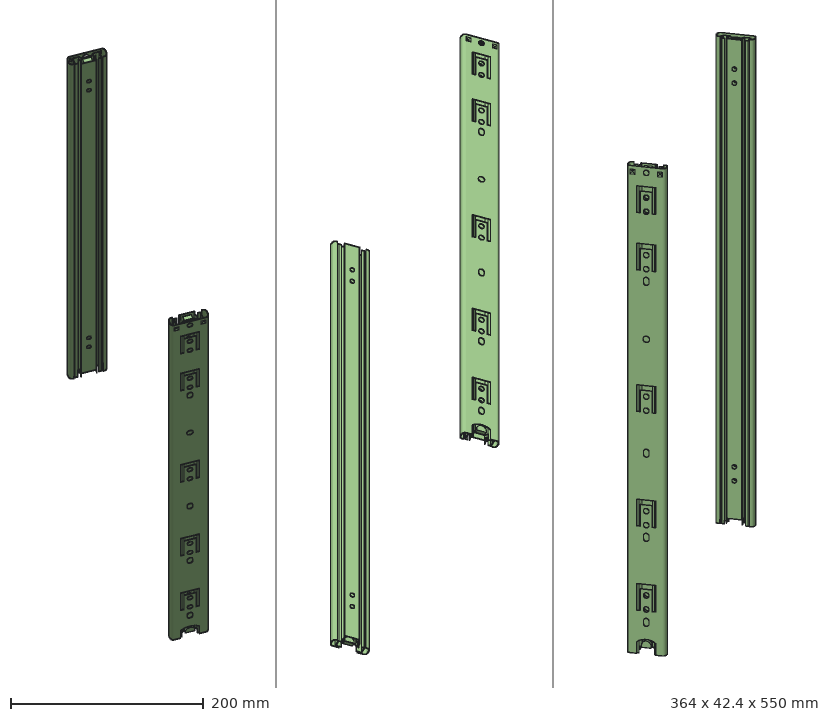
import cadquery as cq
import math


PAIR_WIDTH = 364.0
RAIL_HEIGHT = 42.4
LENGTH = 550.0
SLIDE_DEPTH = 12.7
SHEET = 1.0
HALF_SHEET = SHEET / 2

OUTER_DEPTH = 11.3
OUTER_FLAT_HALF = 17.2
OUTER_EDGE_Y = RAIL_HEIGHT / 2 - HALF_SHEET
RACE_BULGE = 0.75
RACE_START_X = 2.0
RACE_END_X = OUTER_DEPTH - RACE_START_X
OUTER_LIP_Y = 16.4
CORNER_BULGE = 0.3

MIDDLE_WEB_X = 4.6
MIDDLE_WEB_HALF = 5.7
MIDDLE_STEP_X = 2.15
MIDDLE_STEP_Y = 7.9
MIDDLE_EDGE_Y = 14.5
MIDDLE_LIP_X = 10.0
MIDDLE_LIP_Y = 11.7
MIDDLE_TOP = 548.0

INNER_TIP_Y = 9.3
INNER_EDGE_Y = 8.3
INNER_FLANGE_X = 6.3
INNER_WEB_X = SLIDE_DEPTH - HALF_SHEET
INNER_GROOVE_START_X = 11.0
INNER_GROOVE_DEPTH = 0.7
INNER_BOTTOM = 2.0
INNER_TOP = 549.0

TAB_TOPS = (527.8, 463.0, 303.2, 174.0, 78.8)
SLOT_OUTER_WIDTH = 20.4
SLOT_HEIGHT = 30.0
SLOT_ARM = 3.7
SLOT_BRIDGE = 5.5
TAB_HOLE_DROPS = (12.4, 28.2)
TAB_HOLE = 6.0

OBLONG_LEVELS = (421.0, 227.0, 132.0, 36.0)
OBLONG_LENGTH = 9.0
OBLONG_WIDTH = 6.0
ROUND_HOLES = ((543.5, 6.0), (355.6, 7.0))

MIDDLE_HOLE = 6.0
INNER_HOLE = 5.0
ACCESS_LEVELS = [top - drop for top in (TAB_TOPS[0], TAB_TOPS[-1]) for drop in TAB_HOLE_DROPS]

DIMPLE_SIZE = 5.5
DIMPLE_DEPTH = 0.9
DIMPLE_FLOOR = 0.55
DIMPLE_TAPER = math.degrees(math.atan((DIMPLE_SIZE - DIMPLE_FLOOR) / 2 / DIMPLE_DEPTH))
DIMPLE_Y = 14.8
DIMPLE_Z = 543.5

OUTER_NOTCH_WIDTH = 20.4
OUTER_NOTCH_SHOULDER = 13.0
OUTER_NOTCH_TOP = 16.7
NOTCH_WIDTH = 16.7
NOTCH_TOP = 7.4
BUMPER_HALF = 5.2
BUMPER_SHOULDER = 11.0
BUMPER_TOP = 15.0

STOP_TOP = 547.0
STOP_HALF = 4.6
STOP_END_X = 11.0


def sheet_rail(centre_line, bottom, top):
    """Extrudes a sheet section of constant thickness around an open centre line."""
    return centre_line.offset2D(HALF_SHEET).extrude(top - bottom)


def web_plane(x=0.0):
    """Plane facing +X whose local axes are Y and Z."""
    return cq.Workplane("YZ", origin=(x, 0, 0))


def web_holes(diameter, levels):
    """Round cutters through the whole slide depth, on the web centre line."""
    points = [(0, level) for level in levels]
    return web_plane().pushPoints(points).circle(diameter / 2).extrude(SLIDE_DEPTH)


def arched_block(start_x, end_x, half_width, bottom, shoulder, top):
    """Block with upright sides and an arched top."""
    return (
        web_plane(start_x)
        .moveTo(-half_width, bottom)
        .lineTo(-half_width, shoulder)
        .threePointArc((0, top), (half_width, shoulder))
        .lineTo(half_width, bottom)
        .close()
        .extrude(end_x - start_x)
    )


def bottom_notch():
    return cq.Workplane("XY").box(SLIDE_DEPTH, NOTCH_WIDTH, NOTCH_TOP, centered=(False, True, False))


def tab_slot(top):
    """Inverted U slot cutter that leaves a tongue joined at its lower end."""
    bottom = top - SLOT_HEIGHT
    outer_half = SLOT_OUTER_WIDTH / 2
    inner_half = outer_half - SLOT_ARM
    bridge = top - SLOT_BRIDGE
    points = [
        (-outer_half, bottom), (-outer_half, top), (outer_half, top), (outer_half, bottom),
        (inner_half, bottom), (inner_half, bridge), (-inner_half, bridge), (-inner_half, bottom),
    ]
    return web_plane().polyline(points).close().extrude(SHEET)


def make_outer_rail():
    race_y = OUTER_EDGE_Y - RACE_BULGE
    race_mid_x = OUTER_DEPTH / 2
    corner_mid_x = (HALF_SHEET + RACE_START_X) / 2 - CORNER_BULGE
    corner_mid_y = (OUTER_FLAT_HALF + race_y) / 2 + CORNER_BULGE
    lip_x = OUTER_DEPTH - HALF_SHEET
    centre_line = (
        cq.Workplane("XY")
        .moveTo(lip_x, -OUTER_LIP_Y)
        .lineTo(lip_x, -OUTER_FLAT_HALF)
        .threePointArc((OUTER_DEPTH - corner_mid_x, -corner_mid_y), (RACE_END_X, -race_y))
        .threePointArc((race_mid_x, -OUTER_EDGE_Y), (RACE_START_X, -race_y))
        .threePointArc((corner_mid_x, -corner_mid_y), (HALF_SHEET, -OUTER_FLAT_HALF))
        .lineTo(HALF_SHEET, OUTER_FLAT_HALF)
        .threePointArc((corner_mid_x, corner_mid_y), (RACE_START_X, race_y))
        .threePointArc((race_mid_x, OUTER_EDGE_Y), (RACE_END_X, race_y))
        .threePointArc((OUTER_DEPTH - corner_mid_x, corner_mid_y), (lip_x, OUTER_FLAT_HALF))
        .lineTo(lip_x, OUTER_LIP_Y)
    )
    rail = sheet_rail(centre_line, 0, LENGTH)

    for top in TAB_TOPS:
        rail = rail.cut(tab_slot(top))
        rail = rail.cut(web_holes(TAB_HOLE, [top - drop for drop in TAB_HOLE_DROPS]))

    for level, diameter in ROUND_HOLES:
        rail = rail.cut(web_holes(diameter, [level]))
    oblong_points = [(0, level) for level in OBLONG_LEVELS]
    oblongs = web_plane().pushPoints(oblong_points).slot2D(OBLONG_LENGTH, OBLONG_WIDTH, 90)
    rail = rail.cut(oblongs.extrude(SHEET))

    for side in (-1, 1):
        dimple = web_plane().center(side * DIMPLE_Y, DIMPLE_Z).rect(DIMPLE_SIZE, DIMPLE_SIZE)
        rail = rail.cut(dimple.extrude(DIMPLE_DEPTH, taper=DIMPLE_TAPER))

    half_notch = OUTER_NOTCH_WIDTH / 2
    return rail.cut(arched_block(0, SHEET, half_notch, 0, OUTER_NOTCH_SHOULDER, OUTER_NOTCH_TOP))


def make_middle_rail():
    half_section = [
        (MIDDLE_WEB_X, MIDDLE_WEB_HALF),
        (MIDDLE_STEP_X, MIDDLE_STEP_Y),
        (MIDDLE_STEP_X, MIDDLE_EDGE_Y),
        (MIDDLE_LIP_X, MIDDLE_EDGE_Y),
        (MIDDLE_LIP_X, MIDDLE_LIP_Y),
    ]
    other_half = [(x, -y) for x, y in reversed(half_section)]
    rail = sheet_rail(cq.Workplane("XY").polyline(other_half + half_section), 0, MIDDLE_TOP)
    stop = cq.Workplane("XY", origin=(MIDDLE_WEB_X, 0, STOP_TOP - SHEET)).box(
        STOP_END_X - MIDDLE_WEB_X, 2 * STOP_HALF, SHEET, centered=(False, True, False)
    )
    return rail.union(stop).cut(bottom_notch()).cut(web_holes(MIDDLE_HOLE, ACCESS_LEVELS))


def make_inner_rail():
    groove_y = INNER_EDGE_Y - INNER_GROOVE_DEPTH
    groove_mid_x = (INNER_FLANGE_X + INNER_GROOVE_START_X) / 2
    section = (
        cq.Workplane("XY", origin=(0, 0, INNER_BOTTOM))
        .moveTo(INNER_FLANGE_X, -INNER_TIP_Y)
        .threePointArc((groove_mid_x, -groove_y), (INNER_GROOVE_START_X, -INNER_EDGE_Y))
        .lineTo(INNER_WEB_X, -INNER_EDGE_Y)
        .lineTo(INNER_WEB_X, INNER_EDGE_Y)
        .lineTo(INNER_GROOVE_START_X, INNER_EDGE_Y)
        .threePointArc((groove_mid_x, groove_y), (INNER_FLANGE_X, INNER_TIP_Y))
    )
    rail = sheet_rail(section, INNER_BOTTOM, INNER_TOP)
    return rail.cut(bottom_notch()).cut(web_holes(INNER_HOLE, ACCESS_LEVELS))


def make_bumper():
    """Arched block standing in the outer notch and resting against the middle web."""
    back_x = MIDDLE_WEB_X - HALF_SHEET
    return arched_block(0, back_x, BUMPER_HALF, NOTCH_TOP, BUMPER_SHOULDER, BUMPER_TOP)


bodies = []
for make_body in (make_outer_rail, make_middle_rail, make_inner_rail, make_bumper):
    left_body = make_body()
    right_body = left_body.mirror("YZ", (PAIR_WIDTH / 2, 0, 0))
    bodies += [left_body.val(), right_body.val()]

result = cq.Compound.makeCompound(bodies)